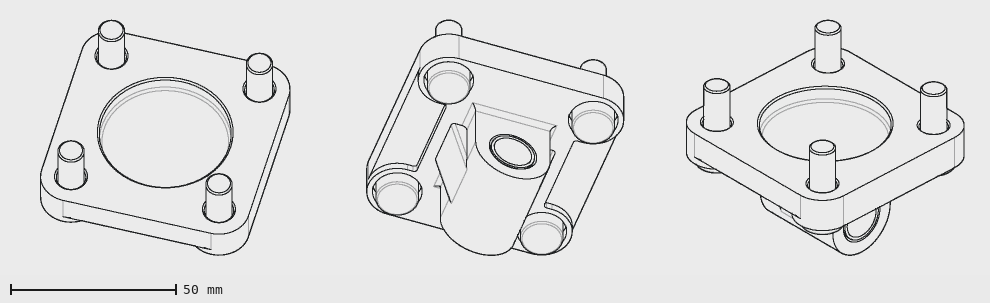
import cadquery as cq
import math

plate_side = 65.0
plate_thickness = 11.0
screw_spacing = 46.5
screw_offset = screw_spacing / 2
corner_radius = plate_side / 2 - screw_offset

recess_diameter = 40.0
recess_depth = 5.0
recess_rim_chamfer = 0.6
recess_floor_fillet = 0.8

relief_height = 2.5
relief_depth = 12.0
relief_fillet = 1.0

lug_length = 32.0
lug_width = 24.0
lug_radius = lug_width / 2
lug_bottom_z = -39.0
bore_z = lug_bottom_z + lug_radius
lug_root_fillet = 1.55

rib_length = 16.0
rib_angle = 15.0
rib_edge_fillet = 1.0

bushing_outer_diameter = 14.0
bushing_inner_diameter = 12.0
bore_chamfer = 0.65
bushing_length = lug_length / 2

screw_diameter = 8.0
screw_projection = 13.5
screw_tip_chamfer = 0.5
head_diameter = 13.0
head_height = 8.0
head_seat_depth = 6.5
head_edge_fillet = 0.5
clearance_diameter = 9.0
clearance_chamfer = 0.5
counterbore_diameter = 15.0

pick_margin = 0.05

screw_points = [(sx * screw_offset, sy * screw_offset) for sx in (-1, 1) for sy in (-1, 1)]


def edge_relief():
    """Relief under the front (-Y) edge, bounded by two corner bosses and a flat wall."""
    edge_y = -plate_side / 2
    wall_y = edge_y + relief_depth
    boss_side_x = screw_offset - corner_radius
    arc_step = corner_radius * math.sqrt(0.5)
    relief = (
        cq.Workplane("XY", origin=(0, 0, -plate_thickness))
        .moveTo(-screw_offset, edge_y)
        .threePointArc((-screw_offset + arc_step, -screw_offset - arc_step), (-boss_side_x, -screw_offset))
        .lineTo(-boss_side_x, wall_y)
        .lineTo(boss_side_x, wall_y)
        .lineTo(boss_side_x, -screw_offset)
        .threePointArc((screw_offset - arc_step, -screw_offset - arc_step), (screw_offset, edge_y))
        .close()
        .extrude(relief_height)
    )
    wall_corners = cq.selectors.BoxSelector(
        (-plate_side, wall_y - pick_margin, -plate_thickness),
        (plate_side, wall_y + pick_margin, 0),
    )
    return relief.edges("|Z").edges(wall_corners).fillet(relief_fillet)


def flange_plate():
    """Square plate with round corners and a relief under its front and back edges."""
    plate = (
        cq.Workplane("XY")
        .rect(plate_side, plate_side)
        .extrude(-plate_thickness)
        .edges("|Z")
        .fillet(corner_radius)
    )
    relief = edge_relief()
    return plate.cut(relief).cut(relief.mirror("XZ"))


def lug_block():
    """Upright block with a round lower end."""
    return (
        cq.Workplane("YZ")
        .moveTo(-lug_radius, -plate_thickness)
        .lineTo(-lug_radius, bore_z)
        .threePointArc((0, lug_bottom_z), (lug_radius, bore_z))
        .lineTo(lug_radius, -plate_thickness)
        .close()
        .extrude(lug_length / 2, both=True)
    )


def ribs():
    """Tapered web whose sloping faces run tangentially into the round end of the lug."""
    slope = math.radians(rib_angle)
    foot_y = lug_radius * math.cos(slope)
    foot_z = bore_z - lug_radius * math.sin(slope)
    root_y = foot_y + (-plate_thickness - foot_z) * math.tan(slope)
    return (
        cq.Workplane("YZ")
        .polyline([
            (-root_y, -plate_thickness),
            (-foot_y, foot_z),
            (foot_y, foot_z),
            (root_y, -plate_thickness),
        ])
        .close()
        .extrude(rib_length / 2, both=True)
        .edges("(not |X) and (not |Y)")
        .fillet(rib_edge_fillet)
    )


def top_recess():
    """Round recess with a chamfered rim and a filleted floor."""
    recess = (
        cq.Workplane("XY")
        .circle(recess_diameter / 2)
        .extrude(-recess_depth)
        .faces("<Z")
        .edges()
        .fillet(recess_floor_fillet)
    )
    rim = cq.Workplane("XY").add(
        cq.Solid.makeCone(
            recess_diameter / 2, recess_diameter / 2 + recess_rim_chamfer, recess_rim_chamfer,
            cq.Vector(0, 0, -recess_rim_chamfer),
        )
    )
    return recess.union(rim)


def screw_hole(x, y):
    """Clearance hole chamfered at the top, counterbored from below."""
    radius = clearance_diameter / 2
    seat_radius = counterbore_diameter / 2
    return (
        cq.Workplane("XZ")
        .polyline([
            (0, 0),
            (radius + clearance_chamfer, 0),
            (radius, -clearance_chamfer),
            (radius, -head_seat_depth),
            (seat_radius, -head_seat_depth),
            (seat_radius, -plate_thickness),
            (0, -plate_thickness),
        ])
        .close()
        .revolve(360, (0, 0), (0, 1))
        .translate((x, y, 0))
    )


def lug_bore():
    """Through bore along X, chamfered at both ends."""
    radius = bushing_outer_diameter / 2
    end_x = lug_length / 2
    return (
        cq.Workplane("XY")
        .polyline([
            (-end_x, 0),
            (-end_x, radius + bore_chamfer),
            (-end_x + bore_chamfer, radius),
            (end_x - bore_chamfer, radius),
            (end_x, radius + bore_chamfer),
            (end_x, 0),
        ])
        .close()
        .revolve(360, (0, 0), (1, 0))
        .translate((0, 0, bore_z))
    )


def make_housing():
    """Flange plate and eye lug in one piece, with all its holes."""
    housing = flange_plate().union(lug_block())
    root_edges = cq.selectors.BoxSelector(
        (-lug_length / 2 - pick_margin, -lug_radius - pick_margin, -plate_thickness - pick_margin),
        (lug_length / 2 + pick_margin, lug_radius + pick_margin, -plate_thickness + pick_margin),
    )
    housing = housing.edges(root_edges).fillet(lug_root_fillet)
    housing = housing.union(ribs()).cut(top_recess()).cut(lug_bore())
    for x, y in screw_points:
        housing = housing.cut(screw_hole(x, y))
    return housing


def make_bushing(side):
    """Bushing reaching from mid-length to one end of the lug; side is -1 or +1 along X."""
    return (
        cq.Workplane("YZ", origin=(0, 0, bore_z))
        .circle(bushing_outer_diameter / 2)
        .circle(bushing_inner_diameter / 2)
        .extrude(side * bushing_length)
    )


def make_screw(x, y):
    """Cap screw pointing up, its head seated in the counterbore."""
    head = (
        cq.Workplane("XY", origin=(x, y, -head_seat_depth))
        .circle(head_diameter / 2)
        .extrude(-head_height)
        .faces("<Z")
        .fillet(head_edge_fillet)
    )
    shank = (
        cq.Workplane("XY", origin=(x, y, -head_seat_depth))
        .circle(screw_diameter / 2)
        .extrude(head_seat_depth + screw_projection)
        .faces(">Z")
        .chamfer(screw_tip_chamfer)
    )
    return head.union(shank)


housing = make_housing()
bushings = [make_bushing(side) for side in (-1, 1)]
screws = [make_screw(x, y) for x, y in screw_points]

result = cq.Compound.makeCompound([
    housing.val(),
    *[bushing.val() for bushing in bushings],
    *[screw.val() for screw in screws],
])